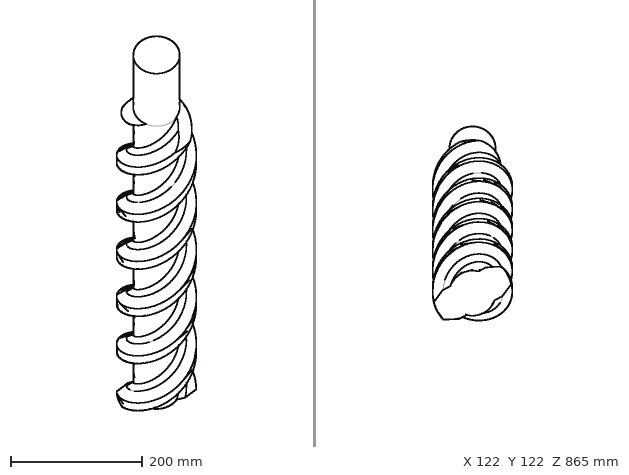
import cadquery as cq
import math

total_length = 865.0
shank_diameter = 71.0
outer_diameter = 122.0

screw_length = 730.0
full_turns = 3
lobe_width = 52.0
land_width = 31.0
shoulder_radius = 46.0

cone_length = 43.0

core_radius = shank_diameter / 2
outer_radius = outer_diameter / 2
half_width = lobe_width / 2
half_land = land_width / 2


def screw_section():
    """Round core with two opposite lobes along Y: parallel flanks, sloping shoulders, narrow land."""
    root_y = math.sqrt(core_radius**2 - half_width**2)
    shoulder_y = math.sqrt(shoulder_radius**2 - half_width**2)
    land_y = math.sqrt(outer_radius**2 - half_land**2)

    section = cq.Workplane("XY").moveTo(half_width, -root_y)
    for side in (1, -1):
        section = (
            section
            .threePointArc((side * core_radius, 0), (side * half_width, side * root_y))
            .lineTo(side * half_width, side * shoulder_y)
            .lineTo(side * half_land, side * land_y)
            .threePointArc((0, side * outer_radius), (-side * half_land, side * land_y))
            .lineTo(-side * half_width, side * shoulder_y)
            .lineTo(-side * half_width, side * root_y)
        )
    return section.close()


def trim_envelope():
    """Turned blank: clear of the lobes below, tapering to the shank diameter at the top."""
    clearance = 9.0
    clear_radius = outer_radius + clearance
    taper = (outer_radius - core_radius) / cone_length
    clear_height = screw_length - cone_length - clearance / taper
    return (
        cq.Workplane("XZ")
        .moveTo(0, -clearance)
        .lineTo(clear_radius, -clearance)
        .lineTo(clear_radius, clear_height)
        .lineTo(core_radius, screw_length)
        .lineTo(0, screw_length)
        .close()
        .revolve(360, (0, 0, 0), (0, 1, 0))
    )


screw = screw_section().twistExtrude(screw_length, 360 * full_turns)
shank = (
    cq.Workplane("XY")
    .workplane(offset=screw_length)
    .circle(core_radius)
    .extrude(total_length - screw_length)
)

result = screw.intersect(trim_envelope()).union(shank)